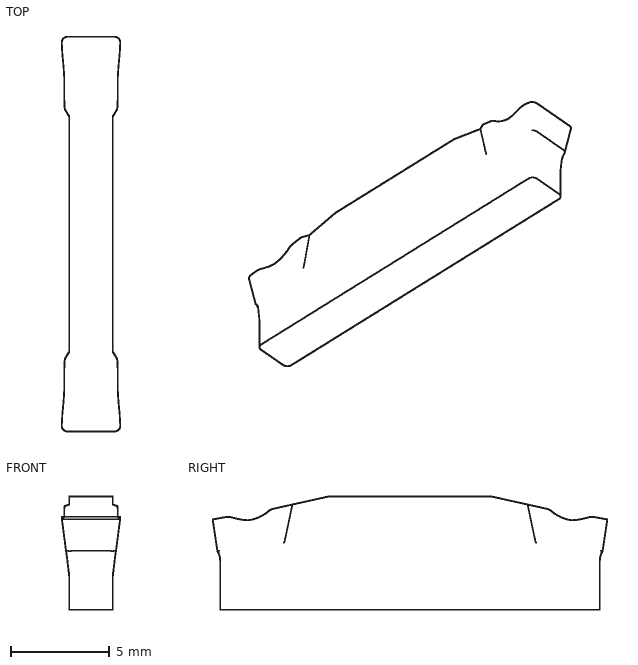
import cadquery as cq

LENGTH = 20.12
HEIGHT = 5.77
BODY_WIDTH = 2.23
HALF_LENGTH = LENGTH / 2
HALF_BODY = BODY_WIDTH / 2

TIP_HEIGHT = 4.6
FLANK_FOOT = (0.25, 3.0)
SHANK_INSET = 0.38
SHANK_TOP = 2.52

RAKE_POINTS = [(0.66, 4.73), (0.9, 4.73), (1.23, 4.65), (1.53, 4.59), (1.83, 4.57)]
CHIP_CURVE_END = (2.85, 5.03)
SHOULDER_START = (3.1, 5.15)
TOP_START = 5.9

TIP_HALF_WIDTH = 1.5
SIDE_RELIEF = 0.12
BACK_TAPER = 0.066
HEAD_BACK = 3.65
HEAD_BACK_HEIGHT = 3.34
BACK_LEAN = 0.21
BACK_SLOPE = 0.63

CORNER_RADIUS = 0.3
BACK_RADIUS = 0.3
CUTTER_SIZE = 4 * LENGTH
EDGE_MARGIN = 0.08


def end_half_profile():
    """Lengthwise profile of the -Y half, extruded wider than the part."""
    def at(point):
        return point[0] - HALF_LENGTH, point[1]

    outline = (
        cq.Workplane("YZ", origin=(-HALF_LENGTH, 0, 0))
        .moveTo(0, 0)
        .lineTo(0, HEIGHT)
        .lineTo(*at((TOP_START, HEIGHT)))
        .lineTo(*at(SHOULDER_START))
    )
    outline = outline.tangentArcPoint(at(CHIP_CURVE_END), relative=False)
    outline = outline.tangentArcPoint(at(RAKE_POINTS[-1]), relative=False)
    for point in reversed(RAKE_POINTS[:-1]):
        outline = outline.lineTo(*at(point))
    foot_run = SHANK_INSET - FLANK_FOOT[0]
    foot_drop = FLANK_FOOT[1] - SHANK_TOP
    foot_radius = (foot_run**2 + foot_drop**2) / (2 * foot_run)
    return (
        outline.lineTo(*at((0, TIP_HEIGHT)))
        .lineTo(*at(FLANK_FOOT))
        .radiusArc(at((SHANK_INSET, SHANK_TOP)), foot_radius)
        .lineTo(*at((SHANK_INSET, 0)))
        .close()
        .extrude(LENGTH)
    )


def beyond(origin, normal):
    """Large block on the side of a plane that its normal points to."""
    plane = cq.Plane(origin=origin, xDir=(0, -normal[2], normal[1]), normal=normal)
    return cq.Workplane(plane).rect(CUTTER_SIZE, CUTTER_SIZE).extrude(CUTTER_SIZE)


def head_side():
    """+X half of the -Y head, bounded by its tapered side and rear face."""
    side = beyond((TIP_HALF_WIDTH, -HALF_LENGTH, TIP_HEIGHT), (1, BACK_TAPER, -SIDE_RELIEF))
    back = beyond(
        (HALF_BODY, HEAD_BACK - HALF_LENGTH, HEAD_BACK_HEIGHT),
        (1, BACK_SLOPE, -BACK_SLOPE * BACK_LEAN),
    )
    block = cq.Workplane("XY").box(LENGTH, LENGTH, LENGTH).translate((HALF_LENGTH, -HALF_LENGTH, 0))
    return block.cut(side).cut(back)


def edges_in(low, high):
    """Selector for edges lying wholly inside a box."""
    return cq.selectors.BoxSelector(low, high, boundingbox=True)


def end_half():
    """The -Y half of the part with its corners rounded."""
    head = head_side()
    slab = cq.Workplane("XY").box(BODY_WIDTH, 2 * LENGTH, 2 * LENGTH)
    half = slab.union(head).union(head.mirror("YZ")).intersect(end_half_profile())

    inner_x = HALF_BODY - EDGE_MARGIN
    outer_x = TIP_HALF_WIDTH + EDGE_MARGIN
    end_y = (-HALF_LENGTH - EDGE_MARGIN, SHANK_INSET - HALF_LENGTH + EDGE_MARGIN)
    back_y = HEAD_BACK - HALF_LENGTH
    back_z = HEAD_BACK_HEIGHT - EDGE_MARGIN
    for left, right in ((-outer_x, -inner_x), (inner_x, outer_x)):
        half = half.edges(
            edges_in((left, end_y[0], -EDGE_MARGIN), (right, end_y[1], TIP_HEIGHT + EDGE_MARGIN))
        ).fillet(CORNER_RADIUS)
        half = half.edges(
            edges_in((left, back_y - EDGE_MARGIN, back_z), (right, back_y + 2 * EDGE_MARGIN, HEIGHT))
        ).fillet(BACK_RADIUS)
    return half


half = end_half()
result = half.union(half.mirror("XZ")).clean()